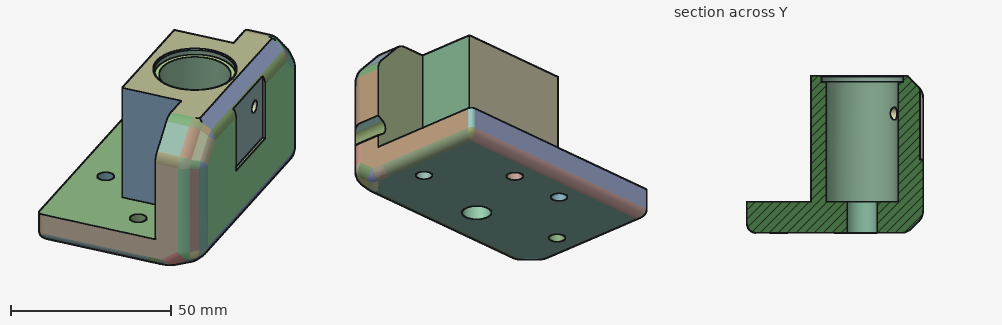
import cadquery as cq
import math

LENGTH = 55.0
WIDTH = 80.0
HEIGHT = 49.1

BASE_THICKNESS = 9.8
WALL_FRONT_X = 40.2
BLOCK_FRONT_X = 20.0
BLOCK_WIDTH = 40.0

SHOULDER_CHAMFER = 10.0
BACK_CHAMFER = 5.0
BLEND_RADIUS = 5.0
UNDERSIDE_RADIUS = 3.0
FRONT_CORNER_RADIUS = 1.5

BORE_X = 36.0
BORE_DIAMETER = 22.4
BORE_FLOOR_Z = BASE_THICKNESS
THROUGH_DIAMETER = 9.2
RECESS_DIAMETER = 25.4
RECESS_DEPTH = 2.0
RECESS_CHAMFER = 0.4

MOUNT_HOLE_DIAMETER = 5.2
MOUNT_HOLES = [(10.0, 10.0), (30.0, 30.0)]

CROSS_HOLE_DIAMETER = 4.0
CROSS_HOLE_Y = 5.0
CROSS_HOLE_Z = 37.3

POCKET_SIZE = 22.4
POCKET_DEPTH = 1.0
POCKET_TOP_Z = 45.4

GROOVE_DIAMETER = 5.2
GROOVE_AXIS_INSET = 0.7
GROOVE_Z = 17.4
GROOVE_FLANK_ANGLE = math.radians(30)

TOLERANCE = 0.04


def box(x_min, x_max, width, z_min, z_max):
    """Box symmetric about the Y = 0 plane."""
    size = (x_max - x_min, width, z_max - z_min)
    return cq.Workplane("XY").box(*size, centered=(False, True, False)).translate((x_min, 0, z_min))


def is_left_sharp(edge):
    """True for edges outside the back blend: the front, the top back edge and the underside's long sides."""
    center = edge.Center()
    on_front = center.x < TOLERANCE
    on_top_back = center.z > HEIGHT - TOLERANCE and abs(center.y) < TOLERANCE
    on_underside_side = center.z < TOLERANCE and abs(center.y) > WIDTH / 2 - TOLERANCE
    return on_front or on_top_back or on_underside_side


def make_envelope():
    """Outer block: sloped shoulders, chamfered back face and blended edges."""
    body = box(0, LENGTH, WIDTH, 0, HEIGHT)
    body = body.edges("|X and >Z").chamfer(SHOULDER_CHAMFER)

    body = body.faces(">X").edges("not <Z").chamfer(BACK_CHAMFER)
    body = body.faces("<Z").edges("not(<X or |X)").chamfer(BACK_CHAMFER)

    blended = [edge for edge in body.edges().vals() if not is_left_sharp(edge)]
    body = body.newObject(blended).fillet(BLEND_RADIUS)
    body = body.edges("|Z and <X").fillet(FRONT_CORNER_RADIUS)

    return body.faces("<Z").edges("<X").fillet(UNDERSIDE_RADIUS)


def make_front_clearance():
    """Space above the base and in front of the wall, leaving the central block."""
    space = box(0, WALL_FRONT_X, WIDTH, BASE_THICKNESS, HEIGHT)
    return space.cut(box(BLOCK_FRONT_X, WALL_FRONT_X, BLOCK_WIDTH, BASE_THICKNESS, HEIGHT))


def make_bore():
    """Stepped bore from the top of the block down through the base."""
    top = cq.Workplane("XY", origin=(BORE_X, 0, HEIGHT))
    through = top.circle(THROUGH_DIAMETER / 2).extrude(-HEIGHT)
    bore = top.circle(BORE_DIAMETER / 2).extrude(BORE_FLOOR_Z - HEIGHT)
    recess = top.circle(RECESS_DIAMETER / 2).extrude(-RECESS_DEPTH)
    rim = top.circle(RECESS_DIAMETER / 2 + RECESS_CHAMFER).extrude(-RECESS_CHAMFER, taper=45)
    return through.union(bore).union(recess).union(rim)


def make_mount_holes():
    centers = [(x, side * y) for x, y in MOUNT_HOLES for side in (-1, 1)]
    return cq.Workplane("XY").pushPoints(centers).circle(MOUNT_HOLE_DIAMETER / 2).extrude(BASE_THICKNESS)


def make_cross_hole():
    start = cq.Workplane("YZ", origin=(BORE_X, CROSS_HOLE_Y, CROSS_HOLE_Z))
    return start.circle(CROSS_HOLE_DIAMETER / 2).extrude(LENGTH - BORE_X)


def make_back_pocket():
    return box(LENGTH - POCKET_DEPTH, LENGTH, POCKET_SIZE, POCKET_TOP_Z - POCKET_SIZE, POCKET_TOP_Z)


def make_groove():
    """Groove along the wall: round bottom with flanks that run tangent from the arc to the mouth."""
    radius = GROOVE_DIAMETER / 2
    axis_y = WIDTH / 2 - GROOVE_AXIS_INSET
    tangent_y = axis_y - radius * math.sin(GROOVE_FLANK_ANGLE)
    tangent_z = radius * math.cos(GROOVE_FLANK_ANGLE)
    mouth_z = tangent_z + (WIDTH / 2 - tangent_y) * math.tan(GROOVE_FLANK_ANGLE)
    profile = (
        cq.Workplane("YZ", origin=(WALL_FRONT_X, 0, GROOVE_Z))
        .moveTo(WIDTH / 2, mouth_z)
        .lineTo(tangent_y, tangent_z)
        .threePointArc((axis_y - radius, 0), (tangent_y, -tangent_z))
        .lineTo(WIDTH / 2, -mouth_z)
        .close()
    )
    return profile.extrude(LENGTH - WALL_FRONT_X)


result = (
    make_envelope()
    .cut(make_front_clearance())
    .cut(make_bore())
    .cut(make_mount_holes())
    .cut(make_cross_hole())
    .cut(make_back_pocket())
    .cut(make_groove())
)